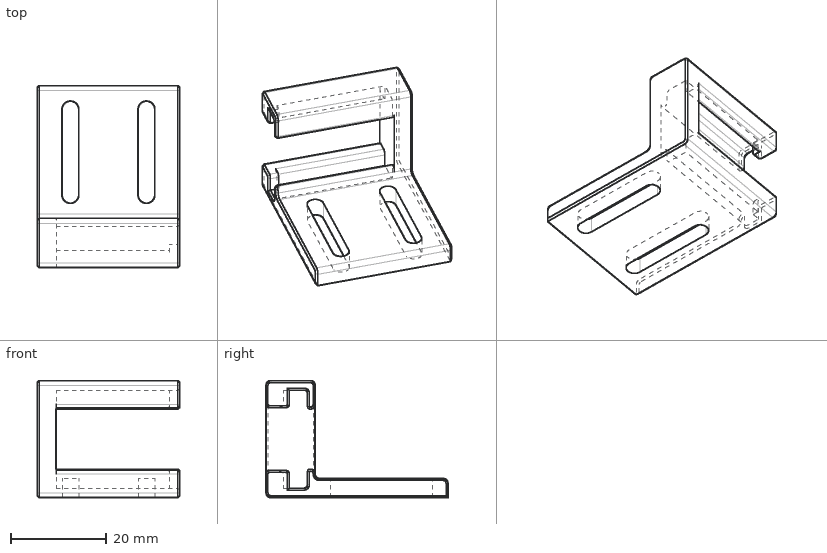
import cadquery as cq

width = 30.0
length = 38.25
height = 24.6

body_depth = 10.32
plate_thickness = 4.0
edge_radius = 1.0
side_chamfer = 0.42

spine_width = 4.0
front_lip_height = 5.7
back_lip_height = 6.0

channel_floor = 2.0
channel_corner_radius = 0.8
front_lip_depth = 3.6
back_lip_depth = 1.6
front_lip_outer_radius = 0.7
front_lip_inner_radius = 0.88
back_lip_inner_radius = 0.57

stop_width = 2.2
stop_depth = 4.9
stop_radius = 0.7

slot_width = 3.48
slot_length = 21.4
slot_center_y = 24.25
slot_xs = (7.0, 23.0)


def round_along_x(part, x, corners):
    """Fillet the X-parallel edges through the given (y, z, radius) corners."""
    for y, z, radius in corners:
        edge = cq.selectors.NearestToPointSelector((x, y, z))
        part = part.edges("|X").edges(edge).fillet(radius)
    return part


def make_bracket():
    """L-shaped profile across the full width, with a rounded outline."""
    profile = (
        cq.Workplane("YZ")
        .polyline([
            (0, 0),
            (length, 0),
            (length, plate_thickness),
            (body_depth, plate_thickness),
            (body_depth, height),
            (0, height),
        ])
        .close()
        .extrude(width)
    )
    corners = [
        (0, 0, edge_radius),
        (0, height, edge_radius),
        (body_depth, height, edge_radius),
        (body_depth, plate_thickness, edge_radius),
        (length, plate_thickness, edge_radius),
    ]
    return round_along_x(profile, width / 2, corners)


def arm_block(start_x, start_y, end_y, bottom, top):
    """Box from start_x to the open end of the lower arm."""
    return (
        cq.Workplane("XY", origin=(start_x, start_y, bottom))
        .box(width - start_x, end_y - start_y, top - bottom, centered=False)
    )


def make_lower_arm():
    """Lower arm with its two lips, the channel between them and the end stop."""
    back_lip_start = body_depth - back_lip_depth
    base = arm_block(spine_width, 0, body_depth, 0, channel_floor)
    front_lip = arm_block(spine_width, 0, front_lip_depth, 0, front_lip_height)
    back_lip = arm_block(spine_width, back_lip_start, body_depth, 0, back_lip_height)
    arm = round_along_x(
        base.union(front_lip).union(back_lip),
        (spine_width + width) / 2,
        [
            (0, front_lip_height, front_lip_outer_radius),
            (front_lip_depth, front_lip_height, front_lip_inner_radius),
            (back_lip_start, channel_floor, channel_corner_radius),
            (back_lip_start, back_lip_height, back_lip_inner_radius),
            (body_depth, back_lip_height, edge_radius),
        ],
    )
    stop_start_y = front_lip_depth / 2
    stop = arm_block(width - stop_width, stop_start_y, stop_depth, 0, front_lip_height)
    stop = round_along_x(stop, width - stop_width / 2, [(stop_depth, front_lip_height, stop_radius)])
    return arm.union(stop)


def make_opening():
    """Space between the arms, with the upper arm mirroring the lower one."""
    middle = height / 2
    lower_arm = make_lower_arm()
    lower = arm_block(spine_width, 0, body_depth, 0, middle).cut(lower_arm)
    upper = lower.mirror("XY", (0, 0, middle))
    return lower.union(upper)


slots = (
    cq.Workplane("XY")
    .pushPoints([(x, slot_center_y) for x in slot_xs])
    .slot2D(slot_length, slot_width, 90)
    .extrude(plate_thickness)
)

body = make_bracket().cut(make_opening())
bevelled = body.faces("<X or >X").chamfer(side_chamfer)
result = bevelled.cut(slots)